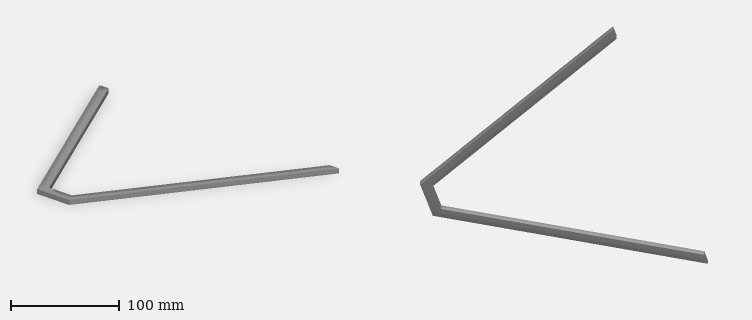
import cadquery as cq
import math

overall_width = 300.0
base_length = 40.0
bar_width = 10.0
thickness = 5.0
arm_angle = math.radians(60)

half_width = overall_width / 2
half_base = base_length / 2
depth = (half_width - half_base) * math.tan(arm_angle)
tip_length = bar_width / math.sin(arm_angle)
inner_half_base = half_base - bar_width * math.tan(arm_angle / 2)

right_side = [
    (half_base, 0),
    (half_width, depth),
    (half_width - tip_length, depth),
    (inner_half_base, bar_width),
]
left_side = [(-x, y) for x, y in reversed(right_side)]

result = (
    cq.Workplane("XY")
    .polyline(right_side + left_side)
    .close()
    .extrude(thickness)
    .translate((0, -depth / 2, -thickness / 2))
)